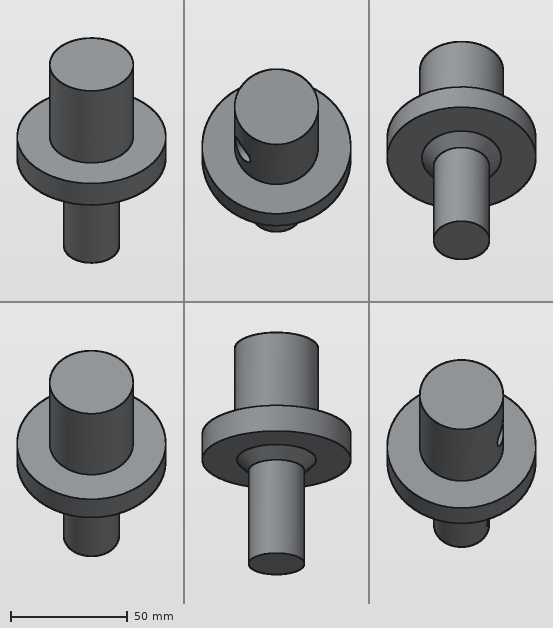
import cadquery as cq

total_height = 100.5
flange_diameter = 64.0
flange_thickness = 12.0

upper_diameter = 36.0
upper_length = 40.0
lower_diameter = 24.0

cone_height = 5.0
cone_top_diameter = lower_diameter + 2 * cone_height

upper_hole_diameter = 12.3
upper_hole_height = 76.5
lower_hole_diameter = 5.2
lower_hole_height = 6.6

flange_top = total_height - upper_length
flange_bottom = flange_top - flange_thickness
cone_bottom = flange_bottom - cone_height


def make_body():
    """Revolve the stepped half profile about the Z axis."""
    return (
        cq.Workplane("XZ")
        .moveTo(0, 0)
        .lineTo(lower_diameter / 2, 0)
        .lineTo(lower_diameter / 2, cone_bottom)
        .lineTo(cone_top_diameter / 2, flange_bottom)
        .lineTo(flange_diameter / 2, flange_bottom)
        .lineTo(flange_diameter / 2, flange_top)
        .lineTo(upper_diameter / 2, flange_top)
        .lineTo(upper_diameter / 2, total_height)
        .lineTo(0, total_height)
        .close()
        .revolve(360, (0, 0, 0), (0, 1, 0))
    )


def radial_hole(diameter, height, shaft_diameter):
    """Cutter running from the shaft axis out through its +Y side."""
    return (
        cq.Workplane("XZ")
        .center(0, height)
        .circle(diameter / 2)
        .extrude(-shaft_diameter / 2)
    )


result = (
    make_body()
    .cut(radial_hole(upper_hole_diameter, upper_hole_height, upper_diameter))
    .cut(radial_hole(lower_hole_diameter, lower_hole_height, lower_diameter))
)